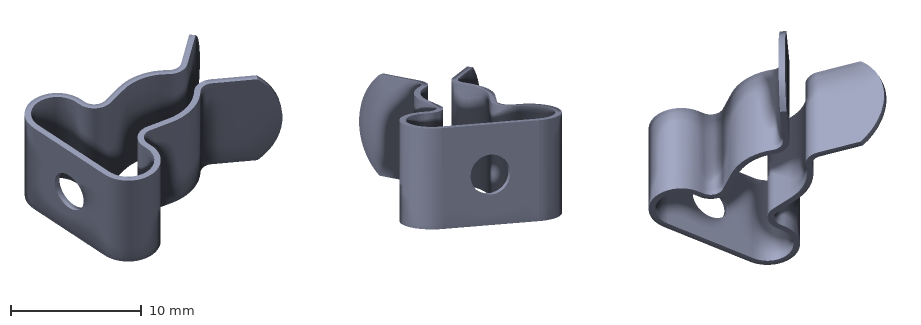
import cadquery as cq
import math

length = 18.26
width = 12.8
height = 8.0
thickness = 0.5
loop_radius = 2.5
bend_radius = 1.0
grip_radius = 4.5
grip_half_width = 3.05
neck_x = 3.47
lip_x = 2.5
lip_y = 12.96
lip_angle = 36.0
tip_radius = 5.11
hole_diameter = 3.18
join_tolerance = 0.0002

loop_center = (width / 2 - loop_radius, loop_radius)
neck_center = (neck_x, 2 * loop_radius + bend_radius)
lip_center = (lip_x, lip_y)
tangent_distance = grip_radius + bend_radius
grip_x = grip_half_width - grip_radius
grip_y = lip_y - math.sqrt(tangent_distance**2 - (lip_x - grip_x) ** 2)
grip_center = (grip_x, grip_y)

neck_dx = neck_x - grip_x
neck_dy = neck_center[1] - grip_y
neck_direction = math.atan2(neck_dy, neck_dx)
grip_start = neck_direction + math.acos(tangent_distance / math.hypot(neck_dx, neck_dy))
grip_end = math.atan2(lip_y - grip_y, lip_x - grip_x)

lip_lean = math.radians(lip_angle)
lip_start_y = lip_y + (bend_radius + thickness) * math.sin(lip_lean)
lip_length = (length - lip_start_y) / math.cos(lip_lean)


def polar(center, radius, angle):
    return (center[0] + radius * math.cos(angle), center[1] + radius * math.sin(angle))


def arc_points(center, radius, start, end):
    """Start, middle and end of an arc."""
    return [polar(center, radius, a) for a in (start, (start + end) / 2, end)]


def arm_face(inset):
    """Arcs and lip tip along one face of the right arm, inset from the outer face."""
    bend = bend_radius + inset
    loop = loop_radius - inset
    arcs = [
        arc_points(loop_center, loop, -math.pi / 2, math.pi / 2),
        arc_points(neck_center, bend, 1.5 * math.pi, math.pi + grip_start),
        arc_points(grip_center, grip_radius - inset, grip_start, grip_end),
        arc_points(lip_center, bend, math.pi + grip_end, math.pi - lip_lean),
    ]
    lip_start = arcs[-1][-1]
    tip = polar(lip_start, lip_length, math.pi / 2 - lip_lean)
    return arcs, tip


def add_arcs(profile, arcs):
    """Draw arcs in order, with a straight line wherever two do not already meet."""
    last = None
    for start, middle, end in arcs:
        if last is None or math.dist(last, start) > join_tolerance:
            profile = profile.lineTo(*start)
        profile = profile.threePointArc(middle, end)
        last = end
    return profile


def make_arm():
    """Right half of the bent strip, with the middle plane at X = 0."""
    outer_arcs, outer_tip = arm_face(0)
    inner_arcs, inner_tip = arm_face(thickness)
    profile = cq.Workplane("XY").moveTo(0, 0)
    profile = add_arcs(profile, outer_arcs)
    profile = profile.lineTo(*outer_tip).lineTo(*inner_tip)
    profile = add_arcs(profile, [arc[::-1] for arc in reversed(inner_arcs)])
    strip = profile.lineTo(0, thickness).close().extrude(height / 2, both=True)
    return strip.cut(make_tip_cutter(outer_tip))


def make_tip_cutter(outer_tip):
    """Waste outside the tip arc, drawn on the lip face with its local X along the lip."""
    along = (math.sin(lip_lean), math.cos(lip_lean), 0)
    across = (math.cos(lip_lean), -math.sin(lip_lean), 0)
    plane = cq.Plane(origin=(*outer_tip, 0), xDir=along, normal=across)
    half = height / 2
    sag = tip_radius - math.sqrt(tip_radius**2 - half**2)
    waste = (
        cq.Workplane(plane)
        .moveTo(-sag, -half)
        .threePointArc((0, 0), (-sag, half))
        .lineTo(thickness, half)
        .lineTo(thickness, -half)
        .close()
    )
    return waste.extrude(2 * thickness, both=True)


def make_hole():
    """Cylinder through the base only, along Y."""
    hole = cq.Workplane("XZ").circle(hole_diameter / 2)
    return hole.extrude(2 * thickness, both=True)


arm = make_arm()
result = arm.union(arm.mirror("YZ")).cut(make_hole())